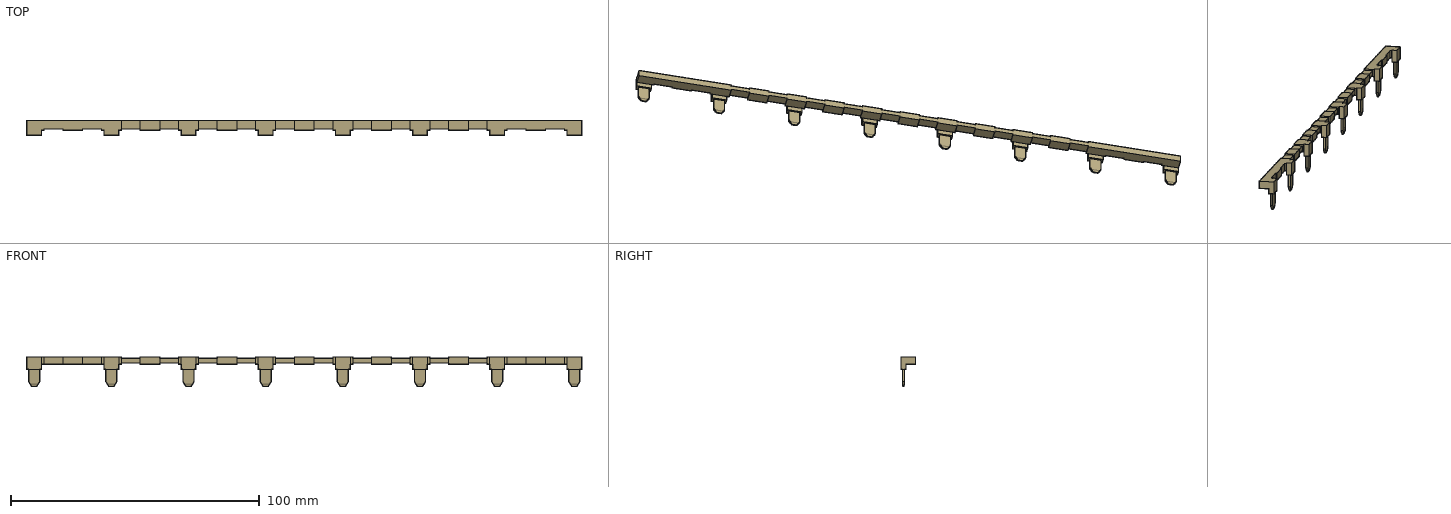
import cadquery as cq

prong_count = 8
prong_pitch = 31.0
length = 223.0
depth = 6.0
height = 12.0
span_count = prong_count - 1

head_width = length - span_count * prong_pitch
head_height = 5.0
head_skirt_depth = 2.1

bar_depth = 3.5
bar_height = 3.0

pad_length = 8.0
pad_depth = 4.0
shoulder_width = 1.0

slim_top_step = 0.5
slim_bottom_step = 0.5

prong_width = 4.5
prong_thickness = 0.9
prong_tip_width = 2.0
prong_tip_height = 2.0
prong_edge_thickness = 0.4
prong_bevel_height = 1.0

bar_back = depth / 2
head_front = -depth / 2
bar_front = bar_back - bar_depth
pad_front = bar_back - pad_depth
top = height


def box(x_min, x_max, y_min, y_max, z_min, z_max):
    """Axis-aligned block between the given limits."""
    size = (x_max - x_min, y_max - y_min, z_max - z_min)
    return cq.Workplane("XY").box(*size, centered=False).translate((x_min, y_min, z_min))


def prong_x(index):
    """Centre of a prong along the bar."""
    return (index - span_count / 2) * prong_pitch


def make_head(x):
    """Head block: a top plate with a skirt hanging at the front."""
    half = head_width / 2
    skirt_back = head_front + head_skirt_depth
    plate = box(x - half, x + half, head_front, bar_back, top - bar_height, top)
    skirt = box(x - half, x + half, head_front, skirt_back, top - head_height, top)
    return plate.union(skirt)


def make_prong(x):
    """Flat prong, tapered in width and bevelled front and back at the tip."""
    shoulder = top - head_height
    half_width = prong_width / 2
    half_tip = prong_tip_width / 2
    half_thickness = prong_thickness / 2
    half_edge = prong_edge_thickness / 2
    face_outline = [
        (-half_width, shoulder),
        (half_width, shoulder),
        (half_width, prong_tip_height),
        (half_tip, 0),
        (-half_tip, 0),
        (-half_width, prong_tip_height),
    ]
    side_outline = [
        (-half_thickness, shoulder),
        (half_thickness, shoulder),
        (half_thickness, prong_bevel_height),
        (half_edge, 0),
        (-half_edge, 0),
        (-half_thickness, prong_bevel_height),
    ]
    face = cq.Workplane("XZ").polyline(face_outline).close().extrude(half_thickness, both=True)
    side = cq.Workplane("YZ").polyline(side_outline).close().extrude(half_width, both=True)
    return face.intersect(side).translate((x, head_front + head_skirt_depth / 2, 0))


def make_span(index):
    """Bar stretch between two heads, with shoulders and pad, slimmed beside the pad on inner spans."""
    x_start = prong_x(index) + head_width / 2
    x_end = prong_x(index + 1) - head_width / 2
    x_middle = (x_start + x_end) / 2
    is_inner = 0 < index < span_count - 1
    bar_top = top
    bar_bottom = top - bar_height
    if is_inner:
        bar_top = top - slim_top_step
        bar_bottom += slim_bottom_step
    bar_bounds = (bar_front, bar_back, bar_bottom, bar_top)
    pad_bounds = (pad_front, bar_back, top - bar_height, top)
    bar = box(x_start, x_end, *bar_bounds)
    pad = box(x_middle - pad_length / 2, x_middle + pad_length / 2, *pad_bounds)
    start_shoulder = box(x_start, x_start + shoulder_width, *pad_bounds)
    end_shoulder = box(x_end - shoulder_width, x_end, *pad_bounds)
    return bar.union(pad).union(start_shoulder).union(end_shoulder)


result = make_head(prong_x(0)).union(make_prong(prong_x(0)))
for i in range(span_count):
    x_next = prong_x(i + 1)
    result = result.union(make_span(i))
    result = result.union(make_head(x_next))
    result = result.union(make_prong(x_next))